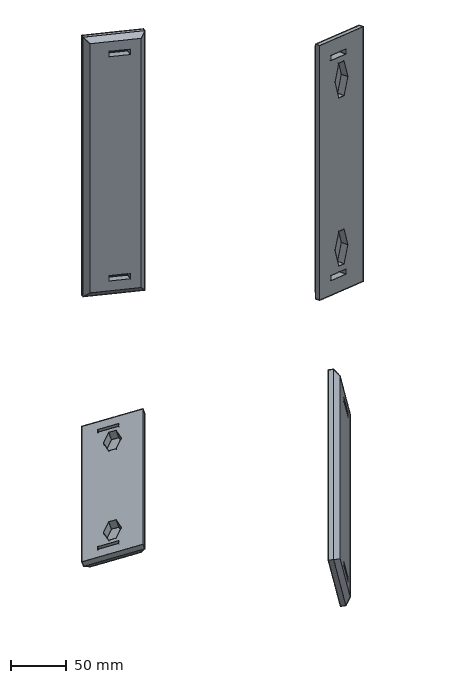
import cadquery as cq

thickness = 10.0
width = 58.0
height = 250.0
bevel = 5.0

slot_width = 20.0
slot_height = 5.0
slot_offset_y = 4.0
slot_end_distance = 17.0

pocket_width = 17.0
pocket_end_width = 7.0
pocket_height = 34.0
pocket_end_distance = 42.5
pocket_depth = 8.0

flat_face_x = -thickness / 2


def make_plate():
    plate = cq.Workplane("XY").box(thickness, width, height)
    return plate.faces(">X").chamfer(bevel)


def make_slot(center_z):
    slot = cq.Workplane("XY").box(thickness, slot_width, slot_height)
    return slot.translate((0, slot_offset_y, center_z))


def make_pocket(center_z):
    half_width = pocket_width / 2
    half_end = pocket_end_width / 2
    half_height = pocket_height / 2
    outline = [
        (half_width, 0),
        (half_end, half_height),
        (-half_end, half_height),
        (-half_width, 0),
        (-half_end, -half_height),
        (half_end, -half_height),
    ]
    pocket = cq.Workplane("YZ").polyline(outline).close().extrude(pocket_depth)
    return pocket.translate((flat_face_x, 0, center_z))


result = make_plate()
for end in (1, -1):
    result = result.cut(make_slot(end * (height / 2 - slot_end_distance)))
    result = result.cut(make_pocket(end * (height / 2 - pocket_end_distance)))